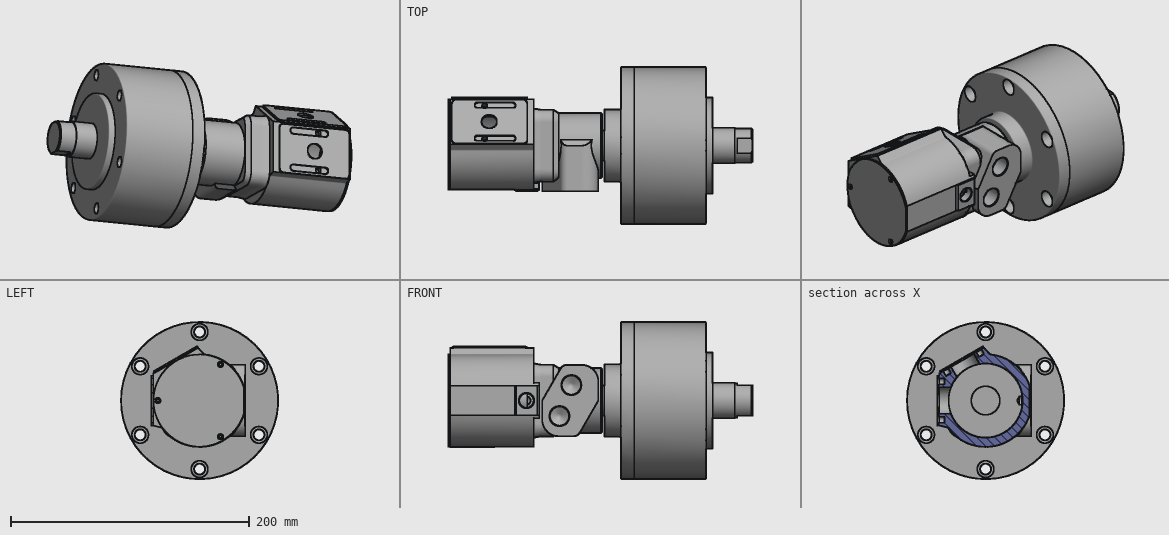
import cadquery as cq
import math


COVER_INNER_X = 1.5
HOUSING_END_X = 71.6
FLANGE_FLARE_END_X = 77.3
FLANGE_STRAIGHT_END_X = 87.9
FLANGE_END_X = 92.3
BARREL_END_X = 129.1
RING_X = 130.7
REAR_COVER_X = 144.7
CYLINDER_X = 156.0
CYLINDER_END_X = 216.0
HUB_END_X = 221.6
ROD_STEP_X = 240.3
ROD_FLATS_X = 242.3
ROD_END_X = 255.03

HOUSING_RADIUS = 39.0
COVER_RADIUS = 38.7
FRONT_FLAT_Y = -36.95
PORT_FACE_Y = -38.3
PLATE_BASE_DISTANCE = HOUSING_RADIUS
PLATE_TOP_DISTANCE = PLATE_BASE_DISTANCE + 1.5
PLATE_HALF_WIDTH = 21.0
PLATE_X = (2.9, 66.0)
PLATE_CORNER_RADIUS = 3.0
PLATE_ANGLES = (0, 60)
SHOULDER_INNER = (30.5, -23.0)
SHOULDER_FILLET = 2.0
CAVITY_RADIUS = 31.0
CAVITY_END_X = 66.1

SLOT_OFFSET = 16.0
SLOT_CENTER_X = 39.1
SLOT_LENGTH = 34.4
SLOT_WIDTH = 5.6
PLATE_SCREW_HOLE_X = 30.4
PLATE_SCREW_HOLE_DIAMETER = 4.6
PLATE_SCREW_HOLE_DEPTH = 6.0
SENSOR_HOLE_X = 34.2
SENSOR_HOLE_DIAMETER = 13.0
SENSOR_WINDOW_DIAMETER = 23.0

TAB_END_X = 76.1
TAB_HALF_HEIGHT = 14.8
TAB_INNER_Y = -31.5
TAB_CHAMFER = 1.5
PORT_PAD_RAMP_X = (55.4, 56.9)
PORT_PAD_HALF_HEIGHT = 12.4
COOLANT_PORT_X = 65.4
COOLANT_PORT_DIAMETER = 13.0
COOLANT_PORT_DEPTH = 8.0
COOLANT_PORT_CHAMFER = 0.5
COOLANT_DRILL_DIAMETER = 7.0
COOLANT_DRILL_DEPTH = 10.0

COVER_HOLE_CIRCLE_RADIUS = 35.0
COVER_HOLE_ANGLES = (0, 120, 240)
COVER_HOLE_HEAD_RADIUS = 2.3
COVER_HOLE_RADIUS = 1.3
COVER_HOLE_DEPTH = 8.0

FLANGE_HALF_WIDTH = 30.2
FLANGE_CORNER_RADIUS = 10.0
FLANGE_FLARE = 1.0
BARREL_RADIUS = 27.4
BARREL_CHAMFER = 1.4
BLOCK_X = (78.6, 125.7)
BLOCK_HALF_HEIGHT = 30.0
BLOCK_SLOPE = 60
BLOCK_ROUND_CORNER_RADIUS = 14.0
BLOCK_BLUNT_CORNER_RADIUS = 6.0
BLOCK_BACK_Y = 6.5
BLOCK_BACK_HALF_HEIGHT = 25.9
OIL_PORTS = ((103.1, 13.0), (93.1, -13.0))
OIL_PORT_DIAMETER = 17.0
OIL_PORT_DEPTH = 14.0
OIL_PORT_CHAMFER = 0.5
DRILL_POINT_ANGLE = 118
SHAFT_RADIUS = 12.0
SHAFT_START_X = 50.0

CYLINDER_RADIUS = 66.0
RING_RADIUS = 30.5
HUB_RADIUS = 40.5
NECK_RADIUS = 12.8
EDGE_BREAK = 1.0
BOLT_CIRCLE_RADIUS = 57.5
BOLT_COUNT = 6
BOLT_HOLE_DIAMETER = 9.0
BOLT_HEAD_DIAMETER = 14.0
BOLT_HEAD_DEPTH = 10.0
ROD_RADIUS = 15.0
ROD_END_RADIUS = 14.4
ROD_FLAT_DISTANCE = 12.9
ROD_CHAMFER = 1.0


def x_plane(x):
    """Plane across the axis: local x is Y, local y is Z, normal is +X."""
    return cq.Workplane("YZ", origin=(x, 0, 0))


def disc(x_start, x_end, radius):
    return x_plane(x_start).circle(radius).extrude(x_end - x_start)


def box_between(x_range, y_range, z_range):
    size = [high - low for low, high in (x_range, y_range, z_range)]
    corner = (x_range[0], y_range[0], z_range[0])
    return cq.Workplane("XY").box(*size, centered=False).translate(corner)


def around_axis(shape, angle):
    """Turn a shape about the X axis, from +Y toward +Z."""
    return shape.rotate((0, 0, 0), (1, 0, 0), angle)


def drill_point_depth(radius):
    return radius / math.tan(math.radians(DRILL_POINT_ANGLE / 2))


def bore_from_front(x, z, y_face, diameter, depth, drill_diameter, drill_depth, chamfer):
    """Bore going in +Y with a chamfered mouth and a drilled, pointed hole in its floor."""
    mouth = diameter / 2
    radius = mouth - chamfer
    drill = drill_diameter / 2
    half = [
        (0, 0),
        (mouth, 0),
        (radius, chamfer),
        (radius, depth),
        (drill, depth),
        (drill, drill_depth),
        (0, drill_depth + drill_point_depth(drill)),
    ]
    hole = cq.Workplane("XY").polyline(half).close().revolve(360, (0, 0), (0, 1))
    return hole.translate((x, y_face, z))


def drilled_from_front(x, z, y_face, diameter, depth, chamfer):
    """Hole going in +Y with a chamfered mouth and a drill point."""
    mouth = diameter / 2
    radius = mouth - chamfer
    half = [
        (0, 0),
        (mouth, 0),
        (radius, chamfer),
        (radius, depth),
        (0, depth + drill_point_depth(radius)),
    ]
    hole = cq.Workplane("XY").polyline(half).close().revolve(360, (0, 0), (0, 1))
    return hole.translate((x, y_face, z))



def cut_cover_holes(body):
    """Countersunk holes with drill points, through the cover and into the housing."""
    countersink = COVER_HOLE_HEAD_RADIUS - COVER_HOLE_RADIUS
    half = [
        (0, 0),
        (0, COVER_HOLE_HEAD_RADIUS),
        (countersink, COVER_HOLE_RADIUS),
        (COVER_HOLE_DEPTH, COVER_HOLE_RADIUS),
        (COVER_HOLE_DEPTH + drill_point_depth(COVER_HOLE_RADIUS), 0),
    ]
    hole = cq.Workplane("XY").polyline(half).close().revolve(360, (0, 0), (1, 0))
    hole = hole.translate((0, COVER_HOLE_CIRCLE_RADIUS, 0))
    for angle in COVER_HOLE_ANGLES:
        body = body.cut(around_axis(hole, angle))
    return body


def front_flat_cutter(x_end):
    reach = HOUSING_RADIUS + 1
    return box_between((0, x_end), (-reach, FRONT_FLAT_Y), (-reach, reach))


def make_end_cover():
    cover = disc(0, COVER_INNER_X, COVER_RADIUS).cut(front_flat_cutter(COVER_INNER_X))
    return cut_cover_holes(cover)



def plate_sketch(x, z):
    """Sketch plane on the outer face of the plate at angle zero."""
    return cq.Workplane("XZ", origin=(x, PLATE_TOP_DISTANCE, z))


def make_switch_plate(angle):
    plate = box_between(
        PLATE_X,
        (PLATE_BASE_DISTANCE, PLATE_TOP_DISTANCE),
        (-PLATE_HALF_WIDTH, PLATE_HALF_WIDTH),
    )
    plate = plate.edges("|Y").fillet(PLATE_CORNER_RADIUS)
    thickness = PLATE_TOP_DISTANCE - PLATE_BASE_DISTANCE
    sensor_hole = plate_sketch(SENSOR_HOLE_X, 0).circle(SENSOR_HOLE_DIAMETER / 2)
    plate = plate.cut(sensor_hole.extrude(thickness))
    for z in (-SLOT_OFFSET, SLOT_OFFSET):
        slot = plate_sketch(SLOT_CENTER_X, z).slot2D(SLOT_LENGTH, SLOT_WIDTH)
        plate = plate.cut(slot.extrude(thickness))
    return around_axis(plate, angle)


def holes_below_plate(angle):
    """Sensor window into the cavity, wider than the plate's hole, and a screw hole below each slot."""
    window = plate_sketch(SENSOR_HOLE_X, 0).circle(SENSOR_WINDOW_DIAMETER / 2)
    holes = window.extrude(PLATE_TOP_DISTANCE - CAVITY_RADIUS + SENSOR_WINDOW_DIAMETER / 2)
    for z in (-SLOT_OFFSET, SLOT_OFFSET):
        screw_hole = plate_sketch(PLATE_SCREW_HOLE_X, z).circle(PLATE_SCREW_HOLE_DIAMETER / 2)
        holes = holes.union(screw_hole.extrude(PLATE_SCREW_HOLE_DEPTH))
    return around_axis(holes, angle)



def mirrored_between_plates(point):
    """Mirror a (y, z) point in the plane midway between the two switch plates."""
    double = math.radians(sum(PLATE_ANGLES))
    y, z = point
    return (
        y * math.cos(double) + z * math.sin(double),
        y * math.sin(double) - z * math.cos(double),
    )


def plate_shoulder():
    """Flat-sided block that carries both switch plates."""
    half_angle = math.radians(sum(PLATE_ANGLES) / 2)
    outer = (PLATE_BASE_DISTANCE, -PLATE_HALF_WIDTH)
    middle = (PLATE_BASE_DISTANCE, PLATE_BASE_DISTANCE * math.tan(half_angle))
    outline = [
        (0, 0),
        SHOULDER_INNER,
        outer,
        middle,
        mirrored_between_plates(outer),
        mirrored_between_plates(SHOULDER_INNER),
    ]
    length = HOUSING_END_X - COVER_INNER_X
    return x_plane(COVER_INNER_X).polyline(outline).close().extrude(length)


def port_tab():
    """Lip beyond the housing end, following the housing's round and its flat."""
    lip = disc(HOUSING_END_X - 1, TAB_END_X, HOUSING_RADIUS)
    limits = box_between(
        (HOUSING_END_X - 1, TAB_END_X),
        (FRONT_FLAT_Y, TAB_INNER_Y),
        (-TAB_HALF_HEIGHT, TAB_HALF_HEIGHT),
    )
    return lip.intersect(limits)


def port_pad():
    """Raised face round the coolant port, with a ramp at its -X end."""
    outline = [
        (PORT_PAD_RAMP_X[0], FRONT_FLAT_Y),
        (PORT_PAD_RAMP_X[1], PORT_FACE_Y),
        (TAB_END_X - TAB_CHAMFER, PORT_FACE_Y),
        (TAB_END_X, PORT_FACE_Y + TAB_CHAMFER),
        (TAB_END_X, TAB_INNER_Y),
        (PORT_PAD_RAMP_X[0], TAB_INNER_Y),
    ]
    pad = cq.Workplane("XY").polyline(outline).close()
    return pad.extrude(PORT_PAD_HALF_HEIGHT, both=True)


def make_housing():
    housing = disc(COVER_INNER_X, HOUSING_END_X, HOUSING_RADIUS).union(plate_shoulder())
    for y, z in (SHOULDER_INNER, mirrored_between_plates(SHOULDER_INNER)):
        near = cq.selectors.BoxSelector((0, y - 2, z - 2), (HOUSING_END_X, y + 2, z + 2))
        housing = housing.edges("|X").edges(near).fillet(SHOULDER_FILLET)
    housing = housing.cut(front_flat_cutter(HOUSING_END_X))
    housing = housing.union(port_tab()).union(port_pad())
    housing = housing.cut(disc(COVER_INNER_X, CAVITY_END_X, CAVITY_RADIUS))
    housing = housing.cut(disc(CAVITY_END_X, HOUSING_END_X, SHAFT_RADIUS))
    for angle in PLATE_ANGLES:
        housing = housing.cut(holes_below_plate(angle))
    port = bore_from_front(
        COOLANT_PORT_X, 0, PORT_FACE_Y,
        COOLANT_PORT_DIAMETER, COOLANT_PORT_DEPTH,
        COOLANT_DRILL_DIAMETER, COOLANT_DRILL_DEPTH, COOLANT_PORT_CHAMFER,
    )
    return cut_cover_holes(housing.cut(port))



def rounded_square(x, half_width, corner_radius):
    side = 2 * half_width
    return x_plane(x).sketch().rect(side, side).vertices().fillet(corner_radius).finalize()


def distributor_flange():
    flare_length = FLANGE_FLARE_END_X - HOUSING_END_X
    flare_angle = math.degrees(math.atan(FLANGE_FLARE / flare_length))
    flare = rounded_square(
        HOUSING_END_X, FLANGE_HALF_WIDTH + FLANGE_FLARE, FLANGE_CORNER_RADIUS + FLANGE_FLARE
    ).extrude(flare_length, taper=flare_angle)

    straight = rounded_square(FLANGE_FLARE_END_X, FLANGE_HALF_WIDTH, FLANGE_CORNER_RADIUS)
    straight = straight.extrude(FLANGE_STRAIGHT_END_X - FLANGE_FLARE_END_X)

    neck_length = FLANGE_END_X - FLANGE_STRAIGHT_END_X
    neck_angle = math.degrees(math.atan((FLANGE_HALF_WIDTH - BARREL_RADIUS) / neck_length))
    neck = rounded_square(FLANGE_STRAIGHT_END_X, FLANGE_HALF_WIDTH, FLANGE_CORNER_RADIUS)
    neck = neck.extrude(neck_length, taper=neck_angle)
    return flare.union(straight).union(neck)


def port_block():
    """Block of slanted outline that carries both oil ports."""
    left, right = BLOCK_X
    height = BLOCK_HALF_HEIGHT
    slant = height / math.tan(math.radians(BLOCK_SLOPE))
    outline = [
        (left, 0),
        (left + slant, height),
        (right, height),
        (right, 0),
        (right - slant, -height),
        (left, -height),
    ]
    plane = cq.Workplane("XZ", origin=(0, PORT_FACE_Y, 0))
    block = plane.polyline(outline).close().extrude(PORT_FACE_Y - BLOCK_BACK_Y)

    for x, z, radius in (
        (right, height, BLOCK_ROUND_CORNER_RADIUS),
        (left, -height, BLOCK_ROUND_CORNER_RADIUS),
        (left + slant, height, BLOCK_BLUNT_CORNER_RADIUS),
        (right - slant, -height, BLOCK_BLUNT_CORNER_RADIUS),
    ):
        near = cq.selectors.BoxSelector(
            (x - 1, PORT_FACE_Y, z - 1), (x + 1, BLOCK_BACK_Y, z + 1)
        )
        block = block.edges("|Y").edges(near).fillet(radius)

    side = [
        (PORT_FACE_Y, -height),
        (0, -height),
        (BLOCK_BACK_Y, -BLOCK_BACK_HALF_HEIGHT),
        (BLOCK_BACK_Y, BLOCK_BACK_HALF_HEIGHT),
        (0, height),
        (PORT_FACE_Y, height),
    ]
    return block.intersect(x_plane(left).polyline(side).close().extrude(right - left))


def make_distributor():
    shaft = disc(SHAFT_START_X, HOUSING_END_X, SHAFT_RADIUS)
    barrel = disc(FLANGE_STRAIGHT_END_X, BARREL_END_X, BARREL_RADIUS)
    barrel = barrel.faces(">X").edges().chamfer(BARREL_CHAMFER)
    distributor = distributor_flange().union(shaft).union(barrel).union(port_block())
    for x, z in OIL_PORTS:
        port = drilled_from_front(
            x, z, PORT_FACE_Y, OIL_PORT_DIAMETER, OIL_PORT_DEPTH, OIL_PORT_CHAMFER
        )
        distributor = distributor.cut(port)
    return distributor



def bolt_circle(x):
    return x_plane(x).polarArray(BOLT_CIRCLE_RADIUS, 90, 360, BOLT_COUNT)


def make_rear_cover():
    """Cover with the ring and the neck that reaches the distributor."""
    cover = disc(REAR_COVER_X, CYLINDER_X, CYLINDER_RADIUS)
    cover = cover.faces("<X").edges().fillet(EDGE_BREAK)
    ring = disc(RING_X, REAR_COVER_X, RING_RADIUS).faces("<X").edges().fillet(EDGE_BREAK)
    neck = disc(BARREL_END_X, RING_X, NECK_RADIUS)
    cover = cover.union(ring)
    root = cq.selectors.BoxSelector(
        (REAR_COVER_X - 0.1, -RING_RADIUS - 1, -RING_RADIUS - 1),
        (REAR_COVER_X + 0.1, RING_RADIUS + 1, RING_RADIUS + 1),
        boundingbox=True,
    )
    cover = cover.edges(root).fillet(EDGE_BREAK).union(neck)
    through = bolt_circle(REAR_COVER_X).circle(BOLT_HOLE_DIAMETER / 2)
    heads = bolt_circle(REAR_COVER_X).circle(BOLT_HEAD_DIAMETER / 2)
    cover = cover.cut(through.extrude(CYLINDER_X - REAR_COVER_X))
    return cover.cut(heads.extrude(BOLT_HEAD_DEPTH))


def make_cylinder():
    drum = disc(CYLINDER_X, CYLINDER_END_X, CYLINDER_RADIUS)
    drum = drum.faces(">X").edges().fillet(EDGE_BREAK)
    hub = disc(CYLINDER_END_X, HUB_END_X, HUB_RADIUS).faces(">X").edges().fillet(EDGE_BREAK)
    through = bolt_circle(CYLINDER_X).circle(BOLT_HOLE_DIAMETER / 2)
    body = drum.union(hub).cut(through.extrude(CYLINDER_END_X - CYLINDER_X))
    return body.cut(disc(CYLINDER_X, HUB_END_X, ROD_RADIUS))



def make_rod():
    shank = disc(CYLINDER_X, ROD_STEP_X, ROD_RADIUS)
    tip = disc(ROD_STEP_X, ROD_END_X, ROD_END_RADIUS).faces(">X").edges().chamfer(ROD_CHAMFER)
    rod = shank.union(tip)
    for low, high in (
        (ROD_FLAT_DISTANCE, ROD_RADIUS),
        (-ROD_RADIUS, -ROD_FLAT_DISTANCE),
    ):
        flat = box_between((ROD_FLATS_X, ROD_END_X), (-ROD_RADIUS, ROD_RADIUS), (low, high))
        rod = rod.cut(flat)
    return rod


end_cover = make_end_cover()
switch_plates = [make_switch_plate(angle) for angle in PLATE_ANGLES]
housing = make_housing()
distributor = make_distributor()
rear_cover = make_rear_cover()
cylinder = make_cylinder()
rod = make_rod()

result = cq.Compound.makeCompound([
    end_cover.val(),
    *[plate.val() for plate in switch_plates],
    housing.val(),
    distributor.val(),
    rear_cover.val(),
    cylinder.val(),
    rod.val(),
])